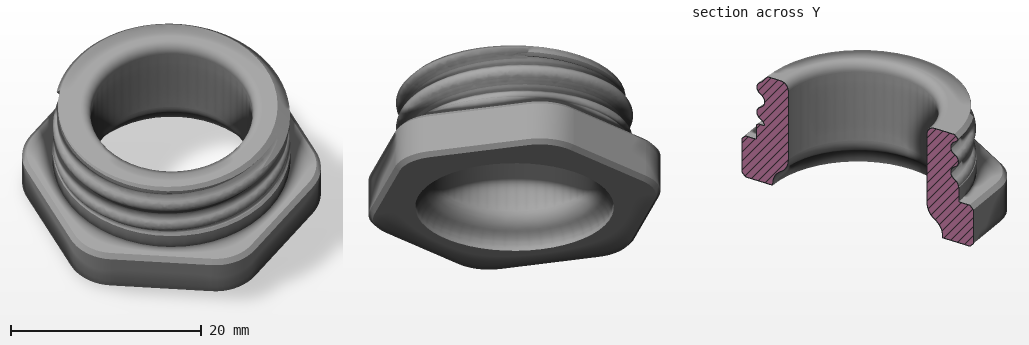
import cadquery as cq
import math

across_flats = 28.5
across_corners = 31.35
flange_height = 5.02
flange_chamfer = 0.47
sharp_corners = across_flats / math.cos(math.radians(30))
corner_radius = (sharp_corners - across_corners) / 2 / (1 / math.cos(math.radians(30)) - 1)

total_height = 13.0
collar_diameter = 24.95
collar_top = 6.95
collar_chamfer = 0.25
root_radius = 11.45
neck_radius = root_radius + 0.03

pitch = 3.0
crest_radius = collar_diameter / 2 - 0.05
crest_height_at_minus_x = 9.8
thread_turns = 3
ridge_gap = 0.05
ridge_overlap = 0.3

top_face_radius = 11.48
top_face_offset = -0.45
rim_radius = 11.7
rim_offset = -0.25
rim_bottom = 11.98
rim_underside_chamfer = 0.3

bore_diameter = 17.0
bore_lip_radius = 1.0
mouth_radius = 10.4
mouth_land_height = 0.25
flare_top = 3.67


def make_flange():
    hexagon = cq.Workplane("XY").polygon(6, sharp_corners).extrude(flange_height)
    hexagon = hexagon.rotate((0, 0, 0), (0, 0, 1), 30)
    rounded = hexagon.edges("|Z").fillet(corner_radius)
    return rounded.faces("<Z or >Z").edges().chamfer(flange_chamfer)


def make_collar():
    collar = cq.Workplane("XY").circle(collar_diameter / 2).extrude(collar_top)
    return collar.faces(">Z").edges().chamfer(collar_chamfer)


def make_threaded_neck():
    """Neck with a round-crested helical ridge that ends as its crest reaches the top."""
    thread_length = thread_turns * pitch
    start_height = total_height - thread_length
    end_angle = (total_height - crest_height_at_minus_x) / pitch * 360 + 180
    start_angle = end_angle - thread_turns * 360

    inner_radius = root_radius - ridge_overlap
    middle_radius = (crest_radius + root_radius) / 2
    crest_half_width = pitch / 4
    ridge_half_width = (pitch - ridge_gap) / 2
    flank_start = (middle_radius, -crest_half_width)
    flank_end = (middle_radius, crest_half_width)
    half_rise = crest_radius - middle_radius
    arc_radius = (crest_half_width**2 + half_rise**2) / (2 * half_rise)

    helix = cq.Wire.makeHelix(pitch, thread_length, root_radius)
    ridge = (
        cq.Workplane("XZ")
        .moveTo(inner_radius, -ridge_half_width)
        .lineTo(root_radius, -ridge_half_width)
        .radiusArc(flank_start, arc_radius)
        .threePointArc((crest_radius, 0), flank_end)
        .radiusArc((root_radius, ridge_half_width), arc_radius)
        .lineTo(inner_radius, ridge_half_width)
        .close()
        .sweep(cq.Workplane(helix), isFrenet=True)
        .rotate((0, 0, 0), (0, 0, 1), start_angle)
        .translate((0, 0, start_height))
    )
    core_bottom = start_height - pitch
    core = (
        cq.Workplane("XY")
        .workplane(offset=core_bottom)
        .circle(neck_radius)
        .extrude(total_height + pitch - core_bottom)
    )
    rim = (
        cq.Workplane("XY")
        .workplane(offset=rim_bottom)
        .center(rim_offset, 0)
        .circle(rim_radius)
        .extrude(total_height + pitch - rim_bottom)
        .faces("<Z")
        .edges()
        .chamfer(rim_underside_chamfer)
    )
    top_bevel = crest_radius - top_face_radius - top_face_offset + ridge_overlap
    envelope_bottom = collar_top - collar_chamfer
    envelope = (
        cq.Workplane("XY")
        .workplane(offset=envelope_bottom)
        .center(top_face_offset, 0)
        .circle(top_face_radius + top_bevel)
        .extrude(total_height - envelope_bottom)
        .faces(">Z")
        .edges()
        .chamfer(top_bevel)
    )
    return core.union(ridge).union(rim).intersect(envelope)


def make_bore():
    """Through bore with a rounded top lip and an S-shaped flare at the bottom."""
    bore_radius = bore_diameter / 2
    lip_offset = bore_lip_radius * (1 - math.sqrt(0.5))
    half_flare_width = (mouth_radius - bore_radius) / 2
    half_flare_height = (flare_top - mouth_land_height) / 2
    flare_middle = (bore_radius + half_flare_width, mouth_land_height + half_flare_height)
    return (
        cq.Workplane("XZ")
        .lineTo(mouth_radius, 0)
        .lineTo(mouth_radius, mouth_land_height)
        .tangentArcPoint(flare_middle, relative=False)
        .tangentArcPoint((bore_radius, flare_top), relative=False)
        .lineTo(bore_radius, total_height - bore_lip_radius)
        .threePointArc(
            (bore_radius + lip_offset, total_height - lip_offset),
            (bore_radius + bore_lip_radius, total_height),
        )
        .lineTo(0, total_height)
        .close()
        .revolve(360, (0, 0, 0), (0, 1, 0))
    )


body = make_flange().union(make_collar()).union(make_threaded_neck())
result = body.cut(make_bore())